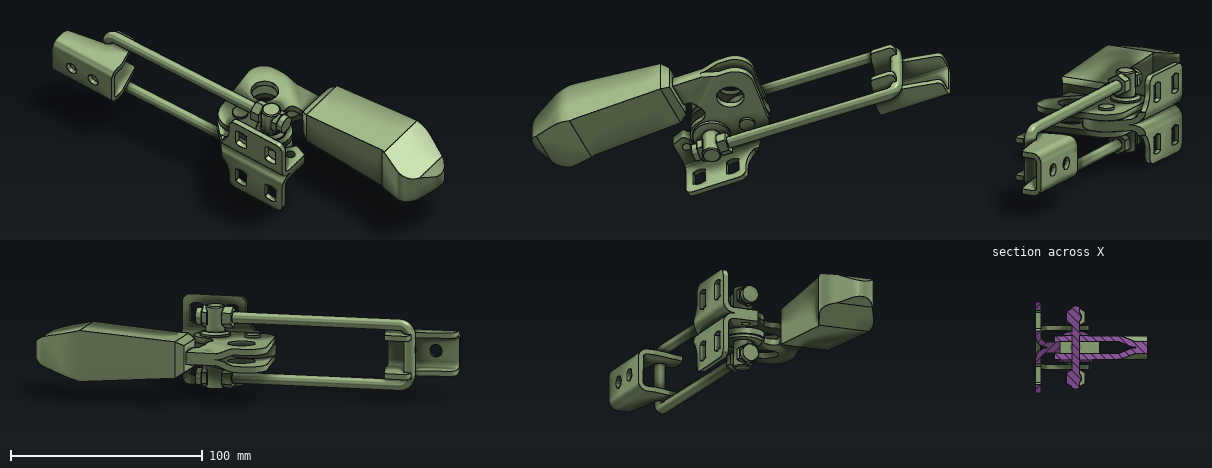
import cadquery as cq
import math


BAR_X, BAR_Y = 22.5, 19.3
TRUNNION_X, TRUNNION_Y = 127.3, 21.2
RIVET_X, RIVET_Y = 107.0, 21.5
ROD_RADIUS = 3.0
TRUNNION_RADIUS = 5.0
RIVET_RADIUS = 4.1
SHEET = 3.0

KEEPER_LENGTH = 38.7
KEEPER_WIDTH = 23.2
KEEPER_HEIGHT = 28.1
KEEPER_SHEET = 2.8
KEEPER_BEND = 5.2
KEEPER_FRONT_HEIGHT = 12.1
KEEPER_TAIL_HEIGHT = 9.3
HOOK_LEFT, HOOK_RIGHT = 21.0, 33.8
HOOK_CORNER = 2.5
KEEPER_CORNER = 3.2
SEAT_RADIUS = 3.2
KEEPER_HOLES_X = (12.8, 26.8)
KEEPER_HOLE_RADIUS = 3.2

ARM_Z = 16.0
ROD_BEND = 5.2
NUT_FLATS = 10.0
NUT_THICKNESS = 5.2
LOCKNUT_HEX = 3.0
LOCKNUT_COLLAR = 3.2
COLLAR_RADIUS = 4.5
TRUNNION_TOP = 22.0
TRUNNION_CHAMFER = 0.6
NUT_SEAT = 4.5
LOCKNUT_SEAT = 3.5
CONE_WASHER_RADIUS = 8.0
CONE_WASHER_TOP_RADIUS = 5.8
CONE_WASHER_LIP = 1.0
CONE_WASHER_THICKNESS = 2.2
FLAT_WASHER_RADIUS = 10.0
FLAT_WASHER_THICKNESS = 1.5

BASE_RIGHT = 150.2
BASE_WIDTH = 48.0
FLANGE_LEFT = 115.5
FLANGE_CORNER = 4.1
BASE_BEND = 6.3
NECK_Z = 16.7
WEB_END_RADIUS = 12.3
WEB_FLOOR = 13.0
LUG_TIP_X, LUG_TIP_Y = 142.9, 23.0
LUG_RIGHT_Y = 20.0
LUG_FLOOR_X = 135.3
LUG_CORNER = 1.3
LUG_HOLE_X, LUG_HOLE_Y, LUG_HOLE_RADIUS = 144.0, 15.5, 2.4
SLOT_XS = (123.4, 142.5)
SLOT_Z = 14.0
SLOT_WIDTH, SLOT_LENGTH, SLOT_BULGE = 7.0, 10.5, 1.0
RIVET_TOP = 7.5

PLATE_OUTER = BASE_BEND
PLATE_TOP = 58.9
PLATE_LEFT = 91.8
PLATE_CORNER = 10.2
PIVOT_END_RADIUS = 11.7
TRUNNION_END_RADIUS = 11.3
NOTCH_X, NOTCH_Y = 130.3, 38.3
PLATE_HOLE_X, PLATE_HOLE_Y, PLATE_HOLE_RADIUS = 107.4, 42.2, 7.1
JOG_X = 108.7
JOG_RUN = 5.2
JOG_INNER_RADIUS = 2.4
JOG_REACH = 86.5

GRIP_LEFT, GRIP_RIGHT = 133.1, 216.5
GRIP_BEVEL_END = 137.2
GRIP_BELLY_X = 188.5
GRIP_TAPER_X = 211.3
GRIP_TOP = 66.9
GRIP_BOTTOM = 38.5
GRIP_FACE_Y = (41.0, 62.5)
GRIP_SHOULDER_TOP = 65.4
GRIP_LEVEL_X = 183.0
GRIP_HEEL_START_X = 186.5
GRIP_CROWN = (194.4, GRIP_TOP)
GRIP_NOSE = (220.1, 54.1)
GRIP_HEEL = (207.0, 30.7)
CROWN_RADIUS, NOSE_RADIUS, HEEL_RADIUS = 20.5, 9.3, 8.5
GRIP_HALF_WIDTHS = (
    (GRIP_LEFT, 7.4), (GRIP_BEVEL_END, 9.7), (GRIP_BELLY_X, 13.6), (GRIP_TAPER_X, 7.8), (GRIP_RIGHT, 4.3),
)
PLATE_TAIL = 142.9


def round_edge(body, x, y, radius):
    """Fillet the edge along Z whose middle is at (x, y, 0)."""
    return body.edges("|Z").edges(cq.selectors.NearestToPointSelector((x, y, 0))).fillet(radius)


def keeper_side():
    """Side outline of the keeper flanges, before the bar seat is cut."""
    side = cq.Workplane("XY").polyline([
        (0, 0), (KEEPER_LENGTH, 0), (KEEPER_LENGTH, KEEPER_TAIL_HEIGHT),
        (HOOK_RIGHT, KEEPER_HEIGHT), (HOOK_LEFT, KEEPER_HEIGHT), (HOOK_LEFT, BAR_Y - SEAT_RADIUS),
        (0, KEEPER_FRONT_HEIGHT),
    ]).close().extrude(KEEPER_WIDTH / 2, both=True)
    for x in (HOOK_LEFT, HOOK_RIGHT):
        side = round_edge(side, x, KEEPER_HEIGHT, HOOK_CORNER)
    return round_edge(side, 0, KEEPER_FRONT_HEIGHT, KEEPER_CORNER)


def make_keeper():
    """Channel with two hooked flanges that hold the cross bar."""
    half = KEEPER_WIDTH / 2
    on_floor = (False, False, True)
    outer = cq.Workplane("XY").box(KEEPER_LENGTH, KEEPER_HEIGHT, KEEPER_WIDTH, centered=on_floor)
    outer = outer.edges("<Y and |X").fillet(KEEPER_BEND)
    inside = cq.Workplane("XY").box(
        KEEPER_LENGTH, KEEPER_HEIGHT, 2 * (half - KEEPER_SHEET), centered=on_floor
    ).translate((0, KEEPER_SHEET, 0))
    inside = inside.edges("<Y and |X").fillet(KEEPER_BEND - KEEPER_SHEET)
    body = outer.cut(inside).intersect(keeper_side())
    seat = cq.Workplane("XY").center(BAR_X, BAR_Y).circle(SEAT_RADIUS).extrude(half, both=True)
    mouth = cq.Workplane("XY").center(BAR_X - ROD_RADIUS, BAR_Y).rect(2 * ROD_RADIUS, 2 * SEAT_RADIUS)
    body = body.cut(seat).cut(mouth.extrude(half, both=True))
    holes = cq.Workplane("XZ").pushPoints([(x, 0) for x in KEEPER_HOLES_X]).circle(KEEPER_HOLE_RADIUS)
    return body.cut(holes.extrude(-2 * KEEPER_SHEET))


def make_rod(length):
    """U-shaped rod in the plane Y = 0, with the cross bar on the Z axis."""
    bar_end = ARM_Z - ROD_BEND
    inset = ROD_BEND * (1 - math.sqrt(0.5))
    path = (
        cq.Workplane("XZ").moveTo(length, -ARM_Z).lineTo(ROD_BEND, -ARM_Z)
        .threePointArc((inset, inset - ARM_Z), (0, -bar_end)).lineTo(0, bar_end)
        .threePointArc((inset, ARM_Z - inset), (ROD_BEND, ARM_Z)).lineTo(length, ARM_Z)
    )
    return cq.Workplane("YZ", origin=(length, 0, -ARM_Z)).circle(ROD_RADIUS).sweep(path)


def make_trunnion(x):
    """Cross pin with a coned washer on the +Z plate and a flat one on the -Z plate."""
    pin = cq.Workplane("XY").center(x, 0).circle(TRUNNION_RADIUS).extrude(TRUNNION_TOP, both=True)
    pin = pin.faces("|Z").chamfer(TRUNNION_CHAMFER)
    cone = cq.Workplane("XY", origin=(x, 0, PLATE_OUTER)).circle(CONE_WASHER_RADIUS)
    cone = cone.extrude(CONE_WASHER_THICKNESS).faces(">Z").chamfer(
        CONE_WASHER_THICKNESS - CONE_WASHER_LIP, CONE_WASHER_RADIUS - CONE_WASHER_TOP_RADIUS
    )
    flat = cq.Workplane("XY", origin=(x, 0, -PLATE_OUTER)).circle(FLAT_WASHER_RADIUS)
    return pin.union(cone).union(flat.extrude(-FLAT_WASHER_THICKNESS))


def make_u_bolt():
    """Built along +X from its cross bar, then tilted to meet the trunnion."""
    reach = math.hypot(TRUNNION_X - BAR_X, TRUNNION_Y - BAR_Y)
    tilt = math.degrees(math.atan2(TRUNNION_Y - BAR_Y, TRUNNION_X - BAR_X))
    nut_start = reach - NUT_SEAT - NUT_THICKNESS
    locknut_start = reach + LOCKNUT_SEAT
    collar_start = locknut_start + LOCKNUT_HEX
    rod_end = collar_start + LOCKNUT_COLLAR
    nut_corners = NUT_FLATS / math.cos(math.pi / 6)

    body = make_rod(rod_end).union(make_trunnion(reach))
    for arm_z in (ARM_Z, -ARM_Z):
        for start, length in ((nut_start, NUT_THICKNESS), (locknut_start, LOCKNUT_HEX)):
            hexagon = cq.Workplane("YZ", origin=(start, 0, arm_z)).transformed(rotate=(0, 0, 90))
            body = body.union(hexagon.polygon(6, nut_corners).extrude(length))
        collar = cq.Workplane("YZ", origin=(collar_start, 0, arm_z)).circle(COLLAR_RADIUS)
        body = body.union(collar.extrude(LOCKNUT_COLLAR))
    return body.rotate((0, 0, 0), (0, 0, 1), tilt).translate((BAR_X, BAR_Y, 0))


def base_section():
    """Half of the sheet seen along X: flange, bend and web, extruded along X."""
    inner = BASE_BEND - SHEET
    diagonal = math.sqrt(0.5)
    near = BASE_BEND * (1 - diagonal)
    far = BASE_BEND - inner * diagonal
    web_top = RIVET_Y + 2 * WEB_END_RADIUS
    profile = (
        cq.Workplane("YZ", origin=(PLATE_LEFT, 0, 0))
        .moveTo(0, BASE_WIDTH / 2).lineTo(0, BASE_BEND)
        .threePointArc((near, near), (BASE_BEND, 0))
        .lineTo(web_top, 0).lineTo(web_top, SHEET)
        .lineTo(BASE_BEND, SHEET)
        .threePointArc((far, far), (SHEET, BASE_BEND))
        .lineTo(SHEET, BASE_WIDTH / 2).close()
    )
    return profile.extrude(BASE_RIGHT - PLATE_LEFT)


def base_toe():
    """X where the 45 degree left edge, tangent to the rounded web end, meets Y = 0."""
    return RIVET_X + RIVET_Y - 2 * WEB_END_RADIUS * math.sqrt(0.5)


def base_side():
    """Outline of the web, with its rounded end at the rivet and its lug at the right."""
    r = WEB_END_RADIUS
    d = r * math.sqrt(0.5)
    outline = (
        cq.Workplane("XY").moveTo(base_toe(), 0).lineTo(RIVET_X - d, RIVET_Y - d)
        .threePointArc((RIVET_X - d, RIVET_Y + d), (RIVET_X + r, RIVET_Y))
        .lineTo(RIVET_X + r, WEB_FLOOR).lineTo(LUG_FLOOR_X, WEB_FLOOR)
        .lineTo(LUG_TIP_X, LUG_TIP_Y).lineTo(BASE_RIGHT, LUG_RIGHT_Y).lineTo(BASE_RIGHT, 0).close()
    )
    side = outline.extrude(BASE_WIDTH / 2, both=True)
    side = round_edge(side, LUG_TIP_X, LUG_TIP_Y, LUG_CORNER)
    hole = cq.Workplane("XY").center(LUG_HOLE_X, LUG_HOLE_Y).circle(LUG_HOLE_RADIUS)
    return side.cut(hole.extrude(SHEET, both=True))


def flange_neck():
    """Waste beside the arc that narrows the flange, tangent to the flange's left edge."""
    toe = base_toe()
    drop = NECK_Z - BASE_BEND
    inset = FLANGE_LEFT - toe
    radius = (drop ** 2 + inset ** 2) / (2 * inset)
    angle = math.asin(drop / radius) / 2
    middle = (FLANGE_LEFT - radius * (1 - math.cos(angle)), NECK_Z - radius * math.sin(angle))
    return (
        cq.Workplane("XZ").moveTo(PLATE_LEFT, BASE_BEND).lineTo(toe, BASE_BEND)
        .threePointArc(middle, (FLANGE_LEFT, NECK_Z))
        .lineTo(FLANGE_LEFT, BASE_WIDTH).lineTo(PLATE_LEFT, BASE_WIDTH).close().extrude(-LUG_TIP_Y)
    )


def flange_slot(x):
    """Mounting slot with slightly bulged ends."""
    left, right = x - SLOT_WIDTH / 2, x + SLOT_WIDTH / 2
    low, high = SLOT_Z - SLOT_LENGTH / 2, SLOT_Z + SLOT_LENGTH / 2
    return (
        cq.Workplane("XZ").moveTo(left, low + SLOT_BULGE)
        .threePointArc((x, low), (right, low + SLOT_BULGE)).lineTo(right, high - SLOT_BULGE)
        .threePointArc((x, high), (left, high - SLOT_BULGE)).close().extrude(-2 * SHEET)
    )


def make_base():
    """Two mirrored bent sheets, back to back, with the pivot rivet."""
    half = base_section().intersect(base_side()).cut(flange_neck())
    for x in (FLANGE_LEFT, BASE_RIGHT):
        corner = cq.selectors.NearestToPointSelector((x, SHEET / 2, BASE_WIDTH / 2))
        half = half.edges("|Y").edges(corner).fillet(FLANGE_CORNER)
    for x in SLOT_XS:
        half = half.cut(flange_slot(x))
    rivet = cq.Workplane("XY").center(RIVET_X, RIVET_Y).circle(RIVET_RADIUS).extrude(RIVET_TOP, both=True)
    return half.union(half.mirror("XY")).union(rivet)


def plate_outline():
    """Outline of a handle plate, with tangent arcs around the trunnion and in the notch."""
    trunnion_gap = math.hypot(NOTCH_X - TRUNNION_X, NOTCH_Y - TRUNNION_Y)
    along_x = (NOTCH_X - TRUNNION_X) / trunnion_gap
    along_y = (NOTCH_Y - TRUNNION_Y) / trunnion_gap
    notch_radius = trunnion_gap - TRUNNION_END_RADIUS
    meet = (TRUNNION_X + TRUNNION_END_RADIUS * along_x, TRUNNION_Y + TRUNNION_END_RADIUS * along_y)
    d = math.sqrt(0.5)
    corner_inset = PLATE_CORNER * (1 - d)
    return (
        cq.Workplane("XY").moveTo(RIVET_X, RIVET_Y - PIVOT_END_RADIUS)
        .lineTo(TRUNNION_X, TRUNNION_Y - TRUNNION_END_RADIUS)
        .threePointArc((TRUNNION_X + TRUNNION_END_RADIUS, TRUNNION_Y), meet)
        .threePointArc((NOTCH_X - notch_radius, NOTCH_Y), (NOTCH_X, NOTCH_Y + notch_radius))
        .lineTo(PLATE_TAIL, NOTCH_Y + notch_radius).lineTo(PLATE_TAIL, PLATE_TOP)
        .lineTo(PLATE_LEFT + PLATE_CORNER, PLATE_TOP)
        .threePointArc(
            (PLATE_LEFT + corner_inset, PLATE_TOP - corner_inset),
            (PLATE_LEFT, PLATE_TOP - PLATE_CORNER),
        )
        .lineTo(RIVET_X - PIVOT_END_RADIUS, RIVET_Y)
        .threePointArc(
            (RIVET_X - PIVOT_END_RADIUS * d, RIVET_Y - PIVOT_END_RADIUS * d),
            (RIVET_X, RIVET_Y - PIVOT_END_RADIUS),
        )
        .close().extrude(PLATE_OUTER)
    )


def jogged_sheet():
    """Sheet that steps towards Z = 0 across a 45 degree line, so that the two plates meet."""
    thickness = PLATE_OUTER - SHEET
    slope = math.atan2(SHEET, JOG_RUN)
    setback = thickness * math.tan(slope / 2)
    lower_start, lower_end = -setback, JOG_RUN - setback
    across = cq.Plane(origin=(JOG_X, PLATE_TOP, 0), xDir=(1, 1, 0), normal=(1, -1, 0))
    sheet = cq.Workplane(across).polyline([
        (-JOG_REACH, SHEET), (lower_start, SHEET), (lower_end, 0), (JOG_REACH, 0),
        (JOG_REACH, thickness), (JOG_RUN, thickness), (0, PLATE_OUTER), (-JOG_REACH, PLATE_OUTER),
    ]).close().extrude(JOG_REACH, both=True)
    bends = (
        (0, PLATE_OUTER, JOG_INNER_RADIUS + thickness), (lower_start, SHEET, JOG_INNER_RADIUS),
        (lower_end, 0, JOG_INNER_RADIUS + thickness), (JOG_RUN, thickness, JOG_INNER_RADIUS),
    )
    for place, height, radius in bends:
        corner = cq.selectors.NearestToPointSelector(across.toWorldCoords((place, height, 0)).toTuple())
        sheet = sheet.edges(corner).fillet(radius)
    return sheet


def make_plates():
    """Two mirrored plates that straddle the base web and meet before the grip."""
    plate = plate_outline().intersect(jogged_sheet())
    for x, y, radius in (
        (PLATE_HOLE_X, PLATE_HOLE_Y, PLATE_HOLE_RADIUS),
        (RIVET_X, RIVET_Y, RIVET_RADIUS),
        (TRUNNION_X, TRUNNION_Y, TRUNNION_RADIUS),
    ):
        plate = plate.cut(cq.Workplane("XY").center(x, y).circle(radius).extrude(PLATE_OUTER))
    return plate.union(plate.mirror("XY"))


def make_grip():
    """The outline in X and Y, rounded and then trimmed to the plan in X and Z."""
    side = cq.Workplane("XY").polyline([
        (GRIP_LEFT, GRIP_FACE_Y[1]), (GRIP_BEVEL_END, GRIP_SHOULDER_TOP), (GRIP_LEVEL_X, GRIP_TOP),
        GRIP_CROWN, GRIP_NOSE, GRIP_HEEL, (GRIP_HEEL_START_X, GRIP_BOTTOM),
        (GRIP_BEVEL_END, GRIP_BOTTOM), (GRIP_LEFT, GRIP_FACE_Y[0]),
    ]).close().extrude(GRIP_TOP, both=True)
    for corner, radius in ((GRIP_CROWN, CROWN_RADIUS), (GRIP_NOSE, NOSE_RADIUS), (GRIP_HEEL, HEEL_RADIUS)):
        side = round_edge(side, *corner, radius)
    mirrored = [(x, -z) for x, z in reversed(GRIP_HALF_WIDTHS)]
    plan = cq.Workplane("XZ").polyline([*GRIP_HALF_WIDTHS, *mirrored]).close().extrude(-2 * GRIP_TOP)
    return side.intersect(plan)


keeper = make_keeper()
u_bolt = make_u_bolt()
base = make_base()
handle = make_plates().union(make_grip())

result = cq.Compound.makeCompound([keeper.val(), u_bolt.val(), base.val(), handle.val()])